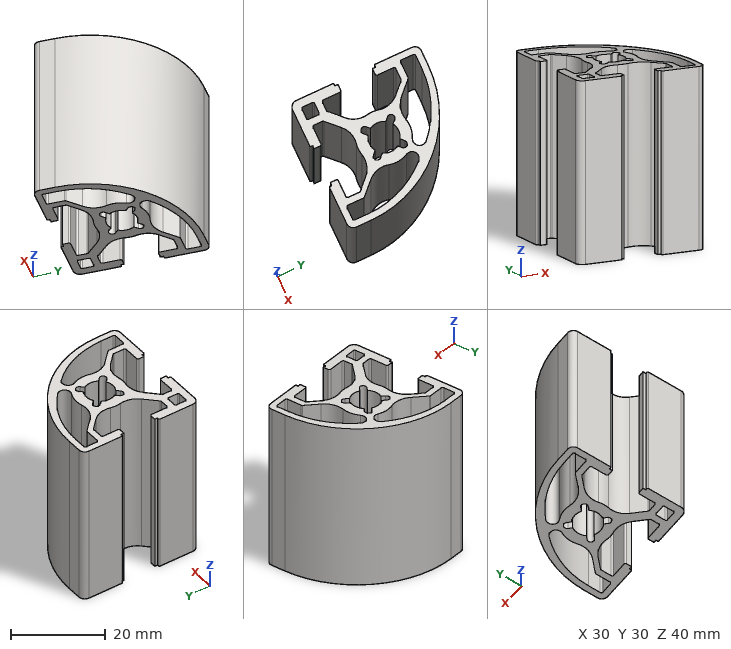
import cadquery as cq
import math

LENGTH = 40.0
WIDTH = 30.0
HALF = WIDTH / 2
WALL = 1.5
CORNER_RADIUS = WALL
OUTER_ARC_RADIUS = 25.0
OUTER_ARC_CENTRE = HALF - OUTER_ARC_RADIUS

CORE_RADIUS = 6.0
BORE_RADIUS = 3.4
KEYWAY_WIDTH = 1.6
KEYWAY_END_OFFSET = 3.1

SLOT_HALF_WIDTH = 8.5
CORNER_HALF_WIDTH = 8.6
MOUTH_HALF_WIDTH = 4.0
STEP_HALF_WIDTH = 4.7
STEP_DEPTH = 0.6
LIP_THICKNESS = 2.3
LIP_DEPTH = HALF - LIP_THICKNESS
SLOT_CORNER_RADIUS = 0.4
LIP_RADIUS = 0.4
STEP_EDGE_RADIUS = 0.25

BLEND_RADIUS = 5.0
CORNER_WEB_OFFSET = 1.6
SIDE_WEB_OFFSET = 1.1
CAVITY_WEB_OFFSET = 0.7

CAVITY_FLOOR = 10.0
CAVITY_EDGE = HALF - WALL
CAVITY_ARC_RADIUS = 21.0
CAVITY_ARC_Y = CAVITY_EDGE - CAVITY_ARC_RADIUS
CAVITY_END_RADIUS = 1.5
CAVITY_CORNER_RADIUS = 0.4

SQUARE_HOLE_SIZE = 2.9
SQUARE_HOLE_CENTRE = 11.7
SQUARE_HOLE_RADIUS = 0.3


def polar(centre, radius, angle):
    return (centre[0] + radius * math.cos(angle), centre[1] + radius * math.sin(angle))


def core_blend(web_offset):
    """(depth, side) start, middle and end of the arc from the core to a web face."""
    centre_distance = CORE_RADIUS + BLEND_RADIUS
    diagonal = web_offset + BLEND_RADIUS * math.sqrt(2)
    tilt = math.acos(diagonal / (centre_distance * math.sqrt(2))) - math.pi / 4
    centre = polar((0, 0), centre_distance, tilt)
    core_angle = math.pi + tilt
    web_angle = 0.75 * math.pi
    angles = (core_angle, (core_angle + web_angle) / 2, web_angle)
    return [polar(centre, BLEND_RADIUS, angle) for angle in angles]


def round_corners(solid, corners, radius):
    """Fillet the vertical edges that stand on the given (x, y) corners."""
    for x, y in corners:
        edge = cq.selectors.NearestToPointSelector((x, y, LENGTH / 2))
        solid = solid.edges("|Z").edges(edge).fillet(radius)
    return solid


def mirror_diagonal(solid):
    """Mirror about the plane x = y."""
    return solid.mirror(cq.Vector(1, -1, 0))


def make_body():
    arc_middle = polar((OUTER_ARC_CENTRE, OUTER_ARC_CENTRE), OUTER_ARC_RADIUS, math.pi / 4)
    body = (
        cq.Workplane("XY")
        .moveTo(-HALF, -HALF)
        .lineTo(HALF, -HALF)
        .lineTo(HALF, OUTER_ARC_CENTRE)
        .threePointArc(arc_middle, (OUTER_ARC_CENTRE, HALF))
        .lineTo(-HALF, HALF)
        .close()
        .extrude(LENGTH)
    )
    return round_corners(body, [(-HALF, -HALF), (HALF, -HALF), (-HALF, HALF)], CORNER_RADIUS)


def make_slot():
    """Slot opening to -X."""
    upper = [(-depth, side) for depth, side in core_blend(SIDE_WEB_OFFSET)]
    lower = [(-depth, -side) for depth, side in core_blend(CORNER_WEB_OFFSET)]
    upper_web_end = (-SLOT_HALF_WIDTH - SIDE_WEB_OFFSET, SLOT_HALF_WIDTH)
    lower_web_end = (-CORNER_HALF_WIDTH - CORNER_WEB_OFFSET, -CORNER_HALF_WIDTH)
    chamber = (
        cq.Workplane("XY")
        .moveTo(*lower[0])
        .threePointArc((-CORE_RADIUS, 0), upper[0])
        .threePointArc(upper[1], upper[2])
        .lineTo(*upper_web_end)
        .lineTo(-LIP_DEPTH, SLOT_HALF_WIDTH)
        .lineTo(-LIP_DEPTH, MOUTH_HALF_WIDTH)
        .lineTo(-HALF, MOUTH_HALF_WIDTH)
        .lineTo(-HALF, -MOUTH_HALF_WIDTH)
        .lineTo(-LIP_DEPTH, -MOUTH_HALF_WIDTH)
        .lineTo(-LIP_DEPTH, -CORNER_HALF_WIDTH)
        .lineTo(*lower_web_end)
        .lineTo(*lower[2])
        .threePointArc(lower[1], lower[0])
        .close()
        .extrude(LENGTH)
    )
    chamber_corners = [
        upper_web_end,
        lower_web_end,
        (-LIP_DEPTH, SLOT_HALF_WIDTH),
        (-LIP_DEPTH, -CORNER_HALF_WIDTH),
    ]
    lip_corners = [(-LIP_DEPTH, MOUTH_HALF_WIDTH), (-LIP_DEPTH, -MOUTH_HALF_WIDTH)]
    chamber = round_corners(chamber, chamber_corners, SLOT_CORNER_RADIUS)
    chamber = round_corners(chamber, lip_corners, LIP_RADIUS)
    step = cq.Workplane("XY").box(
        STEP_DEPTH, 2 * STEP_HALF_WIDTH, LENGTH, centered=(False, True, False)
    )
    return chamber.union(step.translate((-HALF, 0, 0)))


def cavity_end_centre(arc_centre):
    """Centre of the end arc, tangent to the core and to the cavity's outer arc."""
    core_distance = CORE_RADIUS + CAVITY_END_RADIUS
    arc_distance = CAVITY_ARC_RADIUS - CAVITY_END_RADIUS
    spacing = math.hypot(*arc_centre)
    along = (arc_distance**2 - core_distance**2 - spacing**2) / (2 * spacing)
    across = math.sqrt(core_distance**2 - along**2)
    ux = -arc_centre[0] / spacing
    uy = -arc_centre[1] / spacing
    return (along * ux - across * uy, along * uy + across * ux)


def make_cavity():
    """Cavity on the +Y side of the core."""
    web = [(-side, depth) for depth, side in core_blend(CAVITY_WEB_OFFSET)]
    web_end = (CAVITY_WEB_OFFSET - CAVITY_FLOOR, CAVITY_FLOOR)
    arc_centre = (OUTER_ARC_CENTRE, CAVITY_ARC_Y)
    end_centre = cavity_end_centre(arc_centre)
    core_angle = math.atan2(end_centre[1], end_centre[0])
    arc_angle = math.atan2(end_centre[1] - arc_centre[1], end_centre[0] - arc_centre[0])
    end_middle_angle = (core_angle - math.pi + arc_angle) / 2
    cavity = (
        cq.Workplane("XY")
        .moveTo(*web[0])
        .threePointArc((0, CORE_RADIUS), polar((0, 0), CORE_RADIUS, core_angle))
        .threePointArc(
            polar(end_centre, CAVITY_END_RADIUS, end_middle_angle),
            polar(arc_centre, CAVITY_ARC_RADIUS, arc_angle),
        )
        .threePointArc(
            polar(arc_centre, CAVITY_ARC_RADIUS, (arc_angle + math.pi / 2) / 2),
            (OUTER_ARC_CENTRE, CAVITY_EDGE),
        )
        .lineTo(-CAVITY_EDGE, CAVITY_EDGE)
        .lineTo(-CAVITY_EDGE, CAVITY_FLOOR)
        .lineTo(*web_end)
        .lineTo(*web[2])
        .threePointArc(web[1], web[0])
        .close()
        .extrude(LENGTH)
    )
    corners = [(-CAVITY_EDGE, CAVITY_EDGE), (-CAVITY_EDGE, CAVITY_FLOOR), web_end]
    return round_corners(cavity, corners, CAVITY_CORNER_RADIUS)


def make_core_bore():
    bore = cq.Workplane("XY").circle(BORE_RADIUS).extrude(LENGTH)
    keyway_length = 2 * KEYWAY_END_OFFSET * math.sqrt(2) + KEYWAY_WIDTH
    for angle in (45, 135):
        keyway = cq.Workplane("XY").slot2D(keyway_length, KEYWAY_WIDTH, angle).extrude(LENGTH)
        bore = bore.union(keyway)
    return bore


def make_square_hole():
    return (
        cq.Workplane("XY")
        .center(-SQUARE_HOLE_CENTRE, -SQUARE_HOLE_CENTRE)
        .rect(SQUARE_HOLE_SIZE, SQUARE_HOLE_SIZE)
        .extrude(LENGTH)
        .edges("|Z")
        .fillet(SQUARE_HOLE_RADIUS)
    )


def round_step_edges(profile):
    """Round the outer edges of the steps at both slot mouths."""
    sides = (-STEP_HALF_WIDTH, STEP_HALF_WIDTH)
    edges = [(-HALF, side) for side in sides] + [(side, -HALF) for side in sides]
    return round_corners(profile, edges, STEP_EDGE_RADIUS)


result = make_body().cut(make_core_bore()).cut(make_square_hole())
for cutter in (make_slot(), make_cavity()):
    result = result.cut(cutter).cut(mirror_diagonal(cutter))
result = round_step_edges(result)